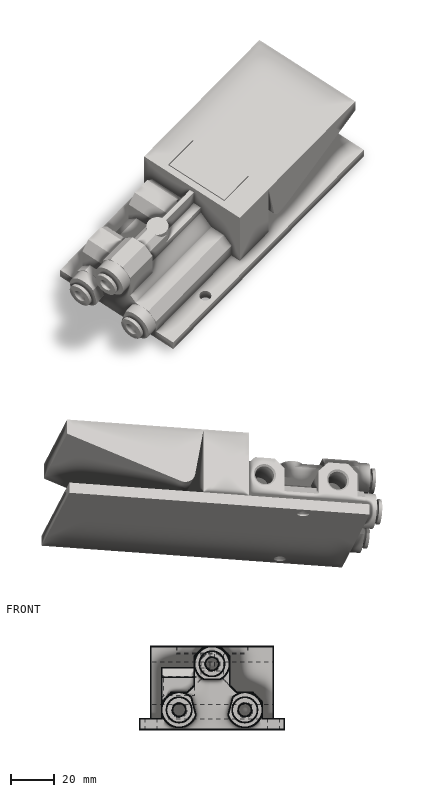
import cadquery as cq
import math


PLATE_WIDTH = 66.0
PLATE_LENGTH = 139.7
PLATE_THICKNESS = 5.0
MOUNT_HOLE_DIAMETER = 5.5
MOUNT_HOLE_SPACING = 56.0

HEIGHT = 38.0
BLOCK_WIDTH = 56.0
BLOCK_FRONT = 55.2
BLOCK_BACK = 76.2

PEDAL_TIP_THICKNESS = 7.0
PEDAL_BACK_ANGLE = 10.0
PEDAL_SOLE_ANGLE = 20.0
PEDAL_HEEL_RADIUS = 5.0
TONGUE_WIDTH = 32.0
TONGUE_LENGTH = 17.5
TONGUE_THICKNESS = 3.0
TONGUE_CLEARANCE = 0.5

CONNECTOR_SPACING = 30.0
COLLAR_RADIUS = 8.0
COLLAR_LENGTH = 5.3
NECK_DIAMETER = 7.0
NECK_LENGTH = 1.5
FLANGE_DIAMETER = 11.5
FLANGE_LENGTH = 1.5
BORE_DIAMETER = 6.0
BORE_DEPTH = 14.8
LOW_CONNECTOR_Z = 9.0
TOP_CONNECTOR_Z = HEIGHT - COLLAR_RADIUS
LOW_FLAT_DISTANCE = 6.8
TOP_FLAT_DISTANCE = 7.1
LOW_FLAT_TILT = 15.0

CORNER_CHAMFER = 4.5
BODY_HALF_WIDTH = CONNECTOR_SPACING / 2 + COLLAR_RADIUS
SHOULDER_Z = LOW_CONNECTOR_Z + COLLAR_RADIUS
SPINE_HALF_WIDTH = 5.2
SPINE_FOOT_HALF_WIDTH = 11.2
SPINE_TOP_Z = 26.8
HEAD_LENGTH = 16.1

RIDGE_TOP_Z = 35.1
HUMP_CHAMFER = 2.8
KNOB_Y = 29.9
KNOB_DIAMETER = 10.0
RIB_THICKNESS = 2.2

PORT_Z = 20.0
PORT_Y_FRONT = 12.7
PORT_PITCH = 34.0
BOSS_WIDTH = 18.0
BOSS_TOP_Z = 28.3
PORT_DIAMETER = 8.7
PORT_MOUTH_DIAMETER = 10.4
PORT_DEPTH = 14.8
SPINE_NOTCH_Y = 50.2


def box(x_min, x_max, y_min, y_max, z_min, z_max):
    """A box given by its limits."""
    size = (x_max - x_min, y_max - y_min, z_max - z_min)
    return cq.Workplane("XY").box(*size, centered=False).translate((x_min, y_min, z_min))


def mirrored_prism(half_outline, y_min, y_max):
    """Extrude along Y an (x, z) outline that is mirrored about x = 0."""
    other_half = [(-x, z) for x, z in reversed(half_outline)]
    outline = half_outline + other_half
    return cq.Workplane("XZ", origin=(0, y_min, 0)).polyline(outline).close().extrude(y_min - y_max)


def make_plate():
    plate = box(-PLATE_WIDTH / 2, PLATE_WIDTH / 2, 0, PLATE_LENGTH, 0, PLATE_THICKNESS)
    for side in (-1, 1):
        hole = cq.Workplane("XY").center(side * MOUNT_HOLE_SPACING / 2, KNOB_Y)
        plate = plate.cut(hole.circle(MOUNT_HOLE_DIAMETER / 2).extrude(PLATE_THICKNESS))
    return plate


def make_block():
    block = box(-BLOCK_WIDTH / 2, BLOCK_WIDTH / 2, BLOCK_FRONT, BLOCK_BACK, 0, HEIGHT)
    slot_half_width = TONGUE_WIDTH / 2 + TONGUE_CLEARANCE
    slot_front = BLOCK_BACK - TONGUE_LENGTH - TONGUE_CLEARANCE
    slot_floor = HEIGHT - TONGUE_THICKNESS - TONGUE_CLEARANCE
    return block.cut(box(-slot_half_width, slot_half_width, slot_front, BLOCK_BACK, slot_floor, HEIGHT))


def make_valve_body():
    """Stepped body from the front face to the block, with a taller head behind the top connector."""
    spine_foot_z = SHOULDER_Z + SPINE_FOOT_HALF_WIDTH - SPINE_HALF_WIDTH
    body = mirrored_prism(
        [
            (BODY_HALF_WIDTH, 0),
            (BODY_HALF_WIDTH, SHOULDER_Z - CORNER_CHAMFER),
            (BODY_HALF_WIDTH - CORNER_CHAMFER, SHOULDER_Z),
            (SPINE_FOOT_HALF_WIDTH, SHOULDER_Z),
            (SPINE_HALF_WIDTH, spine_foot_z),
            (SPINE_HALF_WIDTH, SPINE_TOP_Z),
        ],
        0,
        BLOCK_FRONT,
    )
    head = mirrored_prism(
        [
            (COLLAR_RADIUS, 0),
            (COLLAR_RADIUS, HEIGHT - CORNER_CHAMFER),
            (COLLAR_RADIUS - CORNER_CHAMFER, HEIGHT),
        ],
        0,
        HEAD_LENGTH,
    )
    return body.union(head)


def make_ridge():
    """Chamfered hump, round knob and thin rib standing on the spine."""
    hump = mirrored_prism(
        [
            (SPINE_HALF_WIDTH, 0),
            (SPINE_HALF_WIDTH, RIDGE_TOP_Z - HUMP_CHAMFER),
            (SPINE_HALF_WIDTH - HUMP_CHAMFER, RIDGE_TOP_Z),
        ],
        0,
        KNOB_Y,
    )
    knob = cq.Workplane("XY").center(0, KNOB_Y).circle(KNOB_DIAMETER / 2).extrude(RIDGE_TOP_Z)
    rib = box(-RIB_THICKNESS / 2, RIB_THICKNESS / 2, KNOB_Y, BLOCK_FRONT, 0, RIDGE_TOP_Z)
    return hump.union(knob).union(rib)


def make_boss(port_y):
    """Boss with chamfered top edges, reaching from the -X side to the middle."""
    boss = box(
        -BODY_HALF_WIDTH, 0, port_y - BOSS_WIDTH / 2, port_y + BOSS_WIDTH / 2, 0, BOSS_TOP_Z
    )
    return boss.faces(">Z").edges("|X").chamfer(CORNER_CHAMFER)


def make_spine_notch():
    """Recess above the spine that trims the back of the rear boss down to the spine top."""
    return box(-SPINE_HALF_WIDTH, 0, SPINE_NOTCH_Y, BLOCK_FRONT, SPINE_TOP_Z, BOSS_TOP_Z)


def make_port(port_y):
    """Blind side port with a 45 degree countersunk mouth."""
    side_plane = cq.Plane(origin=(-BODY_HALF_WIDTH, port_y, PORT_Z), xDir=(0, 1, 0), normal=(1, 0, 0))
    bore = cq.Workplane(side_plane).circle(PORT_DIAMETER / 2).extrude(PORT_DEPTH)
    mouth_radius = PORT_MOUTH_DIAMETER / 2
    mouth_depth = mouth_radius - PORT_DIAMETER / 2
    mouth = cq.Workplane(side_plane).circle(mouth_radius).extrude(mouth_depth, taper=45)
    return bore.union(mouth)


def connector_plane(x, z, flat_direction):
    """Plane on the front face whose local X points at the collar flat."""
    angle = math.radians(flat_direction)
    x_axis = (math.cos(angle), 0, math.sin(angle))
    return cq.Plane(origin=(x, 0, z), xDir=x_axis, normal=(0, -1, 0))


def make_connector(plane, flat_distance):
    """Collar with one flat, then a neck and an end flange."""
    half_flat = math.sqrt(COLLAR_RADIUS**2 - flat_distance**2)
    collar = (
        cq.Workplane(plane)
        .moveTo(flat_distance, half_flat)
        .threePointArc((-COLLAR_RADIUS, 0), (flat_distance, -half_flat))
        .close()
        .extrude(COLLAR_LENGTH)
    )
    neck = collar.faces("<Y").workplane(origin=plane.origin.toTuple())
    with_neck = neck.circle(NECK_DIAMETER / 2).extrude(NECK_LENGTH)
    flange = with_neck.faces("<Y").workplane(origin=plane.origin.toTuple())
    return flange.circle(FLANGE_DIAMETER / 2).extrude(FLANGE_LENGTH)


def make_connector_bore(plane):
    bore_start = cq.Workplane(plane).workplane(offset=COLLAR_LENGTH + NECK_LENGTH + FLANGE_LENGTH)
    return bore_start.circle(BORE_DIAMETER / 2).extrude(-BORE_DEPTH)


def make_base():
    """Plate, block, valve body and connectors as one solid."""
    base = make_plate().union(make_block()).union(make_valve_body())

    port_positions = [PORT_Y_FRONT, PORT_Y_FRONT + PORT_PITCH]
    for port_y in port_positions:
        base = base.union(make_boss(port_y))
    base = base.cut(make_spine_notch()).union(make_ridge())
    for port_y in port_positions:
        base = base.cut(make_port(port_y))

    connectors = [
        (connector_plane(-CONNECTOR_SPACING / 2, LOW_CONNECTOR_Z, LOW_FLAT_TILT), LOW_FLAT_DISTANCE),
        (connector_plane(CONNECTOR_SPACING / 2, LOW_CONNECTOR_Z, 180 - LOW_FLAT_TILT), LOW_FLAT_DISTANCE),
        (connector_plane(0, TOP_CONNECTOR_Z, -90), TOP_FLAT_DISTANCE),
    ]
    for plane, flat_distance in connectors:
        base = base.union(make_connector(plane, flat_distance))
        base = base.cut(make_connector_bore(plane))
    return base


def make_pedal():
    """Wedge-shaped pedal with a rounded heel and a tongue that lies in the slot of the block."""
    back_slope = math.tan(math.radians(PEDAL_BACK_ANGLE))
    sole_slope = math.tan(math.radians(PEDAL_SOLE_ANGLE))
    pedal_length = PLATE_LENGTH - BLOCK_BACK
    heel_depth = (PEDAL_TIP_THICKNESS + pedal_length * sole_slope) / (1 + back_slope * sole_slope)
    heel_y = BLOCK_BACK + heel_depth * back_slope
    outline = [
        (BLOCK_BACK, HEIGHT),
        (PLATE_LENGTH, HEIGHT),
        (PLATE_LENGTH, HEIGHT - PEDAL_TIP_THICKNESS),
        (heel_y, HEIGHT - heel_depth),
    ]
    wedge = cq.Workplane("YZ").polyline(outline).close().extrude(BLOCK_WIDTH / 2, both=True)
    wedge = wedge.edges("|X").edges("<Z").fillet(PEDAL_HEEL_RADIUS)

    tongue_root = BLOCK_BACK + TONGUE_THICKNESS * back_slope
    tongue = box(
        -TONGUE_WIDTH / 2, TONGUE_WIDTH / 2,
        BLOCK_BACK - TONGUE_LENGTH, tongue_root,
        HEIGHT - TONGUE_THICKNESS, HEIGHT,
    )
    return wedge.union(tongue, clean=False)


base = make_base()
pedal = make_pedal()

result = cq.Compound.makeCompound([base.val(), pedal.val()])